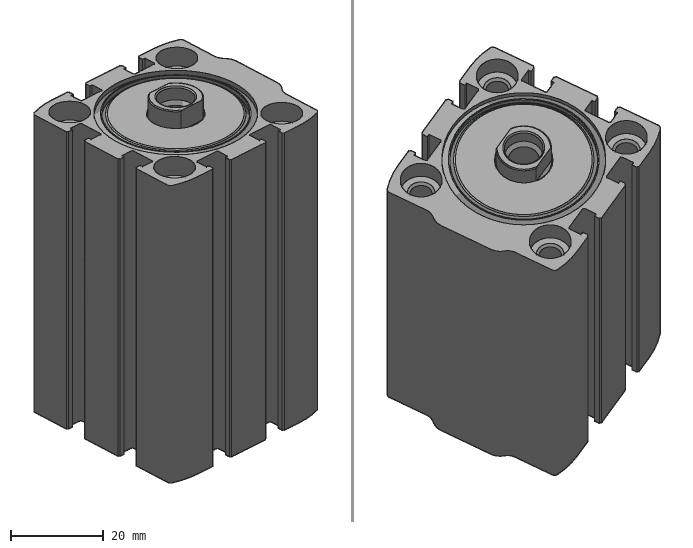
import cadquery as cq
import math

TOTAL_HEIGHT = 79.0
HOUSING_HEIGHT = 75.0
SIDE = 45.0
HALF_SIDE = SIDE / 2
CUT_MARGIN = 0.8

FLANK_FLAT_HALF = 15.3
FLANK_RADIUS = 18.95
CORNER_RADIUS = 0.95
HUMP_HEIGHT = 2.0
HUMP_TOP_HALF = 6.2
HUMP_FOOT_HALF = 11.1
HUMP_BEND_SHARE = 0.55

SLOT_OFFSET = 8.0
SLOT_MOUTH_WIDTH = 5.0
SLOT_WIDTH = 6.4
SLOT_DEPTH = 4.75
SLOT_LIP = 1.6
SLOT_RADIUS = 0.3

HOLE_OFFSET = 16.2
HOLE_DIAMETER = 4.9
HOLE_MOUTH_DIAMETER = 6.0
COUNTERBORE_DIAMETER = 9.0
COUNTERBORE_DEPTH = 4.75

COVER_RECESS = 0.2
FACE_DIAMETER = 29.55
EDGE_BEVEL = 0.15
BEVEL_DIAMETER = 30.3
INNER_GROOVE_DEPTH = 1.3
RIM_INNER_DIAMETER = 32.0
RIM_OUTER_DIAMETER = 32.55
COVER_DIAMETER = 35.4
OUTER_GROOVE_DEPTH = 1.1

ROD_DIAMETER = 12.0
ROD_RADIUS = ROD_DIAMETER / 2
ROD_BASE = 10.0
ROD_CHAMFER = 0.2
ROD_RELIEF_DIAMETER = 12.6
ROD_RELIEF_DEPTH = 0.95
FLAT_WIDTH = 10.0
FLAT_END = 73.95
FLAT_RUNOUT_ANGLE = 30.0

SOCKET_MOUTH_DIAMETER = 9.0
SOCKET_DIAMETER = 8.4
SOCKET_DEPTH = 3.3
THREAD_DIAMETER = 6.6
THREAD_DEPTH = 15.8
POINT_ANGLE = 118.0


def turned(points):
    """Solid turned about the Z axis from (radius, height) points."""
    return cq.Workplane("XZ").polyline(points).close().revolve(360, (0, 0, 0), (0, 1, 0))


def cylinder(diameter, bottom, top):
    return cq.Workplane("XY").workplane(offset=bottom).circle(diameter / 2).extrude(top - bottom)


def extruded_section():
    """Square bar with curved flanks, rounded corners and the hump along +Y."""
    hump_top = HALF_SIDE + HUMP_HEIGHT
    bend_x = HUMP_TOP_HALF + HUMP_BEND_SHARE * (HUMP_FOOT_HALF - HUMP_TOP_HALF)
    bend_y = hump_top - HUMP_BEND_SHARE * HUMP_HEIGHT
    flank_length = HALF_SIDE - FLANK_FLAT_HALF
    corner_x = HALF_SIDE - FLANK_RADIUS + math.sqrt(FLANK_RADIUS**2 - flank_length**2)
    bar = (
        cq.Workplane("XY")
        .moveTo(-HUMP_TOP_HALF, hump_top)
        .lineTo(HUMP_TOP_HALF, hump_top)
        .tangentArcPoint((bend_x, bend_y), relative=False)
        .tangentArcPoint((HUMP_FOOT_HALF, HALF_SIDE), relative=False)
        .lineTo(corner_x, HALF_SIDE)
        .radiusArc((HALF_SIDE, FLANK_FLAT_HALF), FLANK_RADIUS)
        .lineTo(HALF_SIDE, -FLANK_FLAT_HALF)
        .radiusArc((corner_x, -HALF_SIDE), FLANK_RADIUS)
        .lineTo(-corner_x, -HALF_SIDE)
        .radiusArc((-HALF_SIDE, -FLANK_FLAT_HALF), FLANK_RADIUS)
        .lineTo(-HALF_SIDE, FLANK_FLAT_HALF)
        .radiusArc((-corner_x, HALF_SIDE), FLANK_RADIUS)
        .lineTo(-HUMP_FOOT_HALF, HALF_SIDE)
        .tangentArcPoint((-bend_x, bend_y), relative=False)
        .tangentArcPoint((-HUMP_TOP_HALF, hump_top), relative=False)
        .close()
        .extrude(HOUSING_HEIGHT)
    )
    for x in (-corner_x, corner_x):
        for y in (-HALF_SIDE, HALF_SIDE):
            corner = cq.selectors.NearestToPointSelector((x, y, HOUSING_HEIGHT / 2))
            bar = bar.edges(corner).fillet(CORNER_RADIUS)
    return bar


def slot_cutter(offset, turn):
    """T-slot cutter for the -Y side, moved along that side by offset, then turned about Z."""
    mouth = SLOT_MOUTH_WIDTH / 2
    mouth_edge = mouth + SLOT_RADIUS
    wall = SLOT_WIDTH / 2
    face = -HALF_SIDE
    lip = face + SLOT_LIP
    floor = face + SLOT_DEPTH
    return (
        cq.Workplane("XY")
        .moveTo(-mouth_edge, face - CUT_MARGIN)
        .lineTo(-mouth_edge, face)
        .radiusArc((-mouth, face + SLOT_RADIUS), SLOT_RADIUS)
        .lineTo(-mouth, lip)
        .lineTo(-wall, lip)
        .lineTo(-wall, floor - SLOT_RADIUS)
        .radiusArc((-wall + SLOT_RADIUS, floor), SLOT_RADIUS)
        .lineTo(wall - SLOT_RADIUS, floor)
        .radiusArc((wall, floor - SLOT_RADIUS), SLOT_RADIUS)
        .lineTo(wall, lip)
        .lineTo(mouth, lip)
        .lineTo(mouth, face + SLOT_RADIUS)
        .radiusArc((mouth_edge, face), SLOT_RADIUS)
        .lineTo(mouth_edge, face - CUT_MARGIN)
        .close()
        .extrude(HOUSING_HEIGHT)
        .translate((offset, 0, 0))
        .rotate((0, 0, 0), (0, 0, 1), turn)
    )


def mounting_hole_cutter(x, y):
    """Through hole with a 45 degree mouth at the floor of its counterbore."""
    hole = HOLE_DIAMETER / 2
    mouth = HOLE_MOUTH_DIAMETER / 2
    counterbore = COUNTERBORE_DIAMETER / 2
    step = HOUSING_HEIGHT - COUNTERBORE_DEPTH
    return turned([
        (0, 0),
        (hole, 0),
        (hole, step - (mouth - hole)),
        (mouth, step),
        (counterbore, step),
        (counterbore, HOUSING_HEIGHT),
        (0, HOUSING_HEIGHT),
    ]).translate((x, y, 0))


def cover_cutter():
    """Clears the space above the cover face and its two ring grooves, which slope up inward."""
    top = HOUSING_HEIGHT
    face = top - COVER_RECESS
    return turned([
        (0, top),
        (0, face),
        (FACE_DIAMETER / 2, face),
        (BEVEL_DIAMETER / 2, face - EDGE_BEVEL),
        (RIM_INNER_DIAMETER / 2, top - INNER_GROOVE_DEPTH),
        (RIM_INNER_DIAMETER / 2, face),
        (RIM_OUTER_DIAMETER / 2, face),
        (COVER_DIAMETER / 2, top - OUTER_GROOVE_DEPTH),
        (COVER_DIAMETER / 2, top),
    ])


def make_housing():
    housing = extruded_section()
    for turn in (-90, 0, 90):
        for offset in (-SLOT_OFFSET, SLOT_OFFSET):
            housing = housing.cut(slot_cutter(offset, turn))
    for x in (-HOLE_OFFSET, HOLE_OFFSET):
        for y in (-HOLE_OFFSET, HOLE_OFFSET):
            housing = housing.cut(mounting_hole_cutter(x, y))
    housing = housing.cut(cover_cutter())
    rod_bore = cylinder(ROD_DIAMETER, ROD_BASE, HOUSING_HEIGHT)
    rod_relief = cylinder(ROD_RELIEF_DIAMETER, HOUSING_HEIGHT - ROD_RELIEF_DEPTH, HOUSING_HEIGHT)
    return housing.cut(rod_bore).cut(rod_relief)


def flat_cutter():
    """Cutter for the wrench flat on the +X side of the rod, with a sloped lower end."""
    inner = FLAT_WIDTH / 2
    outer = ROD_RADIUS + CUT_MARGIN
    runout = (outer - inner) * math.tan(math.radians(FLAT_RUNOUT_ANGLE))
    return (
        cq.Workplane("XZ")
        .moveTo(inner, TOTAL_HEIGHT)
        .lineTo(inner, FLAT_END)
        .lineTo(outer, FLAT_END - runout)
        .lineTo(outer, TOTAL_HEIGHT)
        .close()
        .extrude(ROD_RADIUS, both=True)
    )


def thread_hole_cutter():
    """Chamfered socket, a 45 degree step down to the thread, and a drill point."""
    mouth = SOCKET_MOUTH_DIAMETER / 2
    socket = SOCKET_DIAMETER / 2
    thread = THREAD_DIAMETER / 2
    socket_floor = TOTAL_HEIGHT - SOCKET_DEPTH
    thread_end = TOTAL_HEIGHT - THREAD_DEPTH
    point_length = thread / math.tan(math.radians(POINT_ANGLE / 2))
    return turned([
        (0, TOTAL_HEIGHT),
        (mouth, TOTAL_HEIGHT),
        (socket, TOTAL_HEIGHT - (mouth - socket)),
        (socket, socket_floor),
        (thread, socket_floor - (socket - thread)),
        (thread, thread_end),
        (0, thread_end - point_length),
    ])


def make_rod():
    rod = cylinder(ROD_DIAMETER, ROD_BASE, TOTAL_HEIGHT).faces(">Z").chamfer(ROD_CHAMFER)
    rod = rod.cut(flat_cutter()).cut(flat_cutter().mirror("YZ"))
    return rod.cut(thread_hole_cutter())


housing = make_housing()
rod = make_rod()
result = cq.Compound.makeCompound([housing.solids().val(), rod.solids().val()])